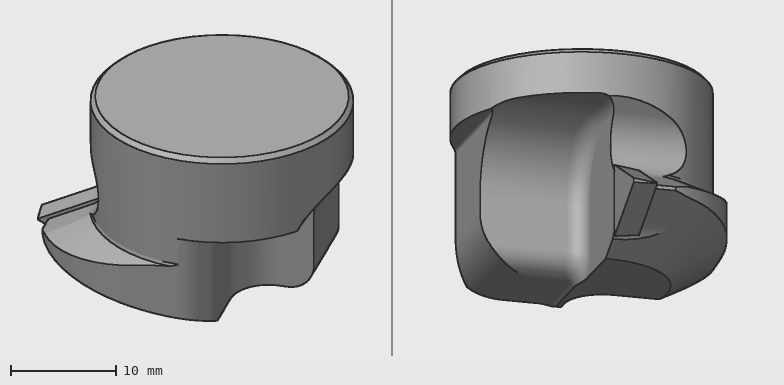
import cadquery as cq
import math

SHANK_RADIUS = 12.497
HEIGHT = 19.7
TOP_CHAMFER = 0.45

TIP_REACH = 17.873
TIP_Z = 4.9
HALF_ANGLE = 27.5
SLOPE = math.tan(math.radians(HALF_ANGLE))
RAKE_Y = 0.12
FAR = 36.45

FLANK_X = -16.5
FLANK_CORNER_Y = -4.43
FLANK_RADIUS = 12.73
FLANK_CENTER_X = -4.65
BLEND_TOP_Z = 7.95
BLEND_REACH = 0.1

RELIEF_APEX_X = -16.85
RELIEF_RADIUS = 4.1
NOTCH_FLOOR_X = -10.08

FLUTE_WALL_X = -1.43
FLUTE_ROOF_Z = 15.2
FLUTE_ROOF_RADIUS = 7.47
FLUTE_BOTTOM_Z = 0.6
FLUTE_CORNER_RADIUS = 2.1
FLUTE_FILLET = 1.73

POCKET_EDGE_X = -1.1
POCKET_EDGE_RADIUS = 3.05
POCKET_FILLET = 3.75
POCKET_ROOF_Z = 10.72
POCKET_FACE_Y = 0.0

SIDE_X = 9.08
SIDE_ARC_Z = 7.9
SIDE_ARC_RADIUS = 6.6
SIDE_CORNER_RADIUS = 2.6

BACK_Y = 10.48
BACK_ROOF_Z = 14.7
BACK_FILLET = 0.4
BACK_CORNER_RADIUS = 5.15

INSERT_THICKNESS = 2.43
INSERT_BACK_X = -11.42
TIP_HALF_WIDTH = 0.2
CLEARANCE_ANGLE = 7.0


def xz_prism(outline, start_y, end_y):
    """Extrude a closed wire drawn in XZ between two Y positions."""
    solid = cq.Solid.extrudeLinear(outline.val(), [], cq.Vector(0, end_y - start_y, 0))
    return cq.Workplane(solid.translate(cq.Vector(0, start_y, 0)))


def make_shank():
    return cq.Workplane().circle(SHANK_RADIUS).extrude(HEIGHT).faces(">Z").chamfer(TOP_CHAMFER)


def make_double_cone():
    """Flank envelope: two cones meeting at the tip circle, blended into the shank."""
    base_radius = TIP_REACH - TIP_Z / SLOPE
    blend_radius = SHANK_RADIUS + BLEND_REACH
    blend_z = TIP_Z + (TIP_REACH - blend_radius) * SLOPE
    return (
        cq.Workplane("XZ")
        .polyline([
            (0, 0), (base_radius, 0), (TIP_REACH, TIP_Z),
            (blend_radius, blend_z), (SHANK_RADIUS, BLEND_TOP_Z), (0, BLEND_TOP_Z),
        ])
        .close()
        .revolve(360, (0, 0), (0, 1))
    )


def make_flank(double_cone):
    """Flank with an arc-shaped plan, limited by the double cone."""
    center_y = FLANK_RADIUS - SHANK_RADIUS
    start_angle = math.atan2(FLANK_CORNER_Y - center_y, FLANK_X - FLANK_CENTER_X) + 2 * math.pi
    middle_angle = (start_angle + 1.5 * math.pi) / 2
    middle = (
        FLANK_CENTER_X + FLANK_RADIUS * math.cos(middle_angle),
        center_y + FLANK_RADIUS * math.sin(middle_angle),
    )
    plan = (
        cq.Workplane()
        .moveTo(0, RAKE_Y)
        .lineTo(FLANK_X, RAKE_Y)
        .lineTo(FLANK_X, FLANK_CORNER_Y)
        .threePointArc(middle, (FLANK_CENTER_X, -SHANK_RADIUS))
        .lineTo(0, -SHANK_RADIUS)
        .close()
        .extrude(BLEND_TOP_Z)
    )
    return plan.intersect(double_cone)


def make_lower_bevel(double_cone):
    """Material below the tip circle and outside the lower cone, on the cutting side."""
    half_block = (
        cq.Workplane()
        .box(2 * FAR, FAR, TIP_Z, centered=(True, False, False))
        .translate((0, RAKE_Y - FAR, 0))
    )
    return half_block.cut(double_cone)


def make_relief():
    """Notch above the V: sloped plane, tangent round floor, then a 45 degree exit."""
    slope_angle = math.radians(HALF_ANGLE)
    center_x = NOTCH_FLOOR_X - RELIEF_RADIUS
    start_x = center_x + RELIEF_RADIUS * math.sin(slope_angle)
    start_z = TIP_Z + (start_x - RELIEF_APEX_X) * SLOPE
    center_z = start_z + RELIEF_RADIUS * math.cos(slope_angle)
    diagonal = RELIEF_RADIUS * math.sqrt(0.5)
    outline = (
        cq.Workplane("XZ")
        .moveTo(RELIEF_APEX_X, TIP_Z)
        .lineTo(start_x, start_z)
        .threePointArc((NOTCH_FLOOR_X, center_z), (center_x + diagonal, center_z + diagonal))
        .lineTo(center_x + diagonal - FAR, center_z + diagonal + FAR)
        .lineTo(center_x + diagonal - FAR, TIP_Z)
        .close()
        .wire()
    )
    return xz_prism(outline, -FAR, FAR)


def make_flute():
    """Chip space on the rake side, with a rounded edge along its floor."""
    roof_x = FLUTE_WALL_X - FLUTE_ROOF_RADIUS
    wall_top_z = FLUTE_ROOF_Z - FLUTE_ROOF_RADIUS
    wall_bottom_z = FLUTE_BOTTOM_Z + FLUTE_CORNER_RADIUS
    outline = (
        cq.Workplane("XZ")
        .moveTo(-FAR, FLUTE_ROOF_Z)
        .lineTo(roof_x, FLUTE_ROOF_Z)
        .tangentArcPoint((FLUTE_WALL_X, wall_top_z), relative=False)
        .lineTo(FLUTE_WALL_X, wall_bottom_z)
        .tangentArcPoint((FLUTE_WALL_X + FLUTE_CORNER_RADIUS, FLUTE_BOTTOM_Z), relative=False)
        .lineTo(FAR, FLUTE_BOTTOM_Z)
        .lineTo(FAR, -FAR)
        .lineTo(-FAR, -FAR)
        .close()
        .wire()
    )
    flute = xz_prism(outline, RAKE_Y, FAR)
    floor_edge = cq.selectors.BoxSelector(
        (-FAR, RAKE_Y - 0.3, 0), (FAR, RAKE_Y + 0.3, FLUTE_ROOF_Z + 0.3)
    )
    return flute.edges(floor_edge).fillet(FLUTE_FILLET)


def make_pocket():
    """Front pocket: convex entry, straight wall, concave fillet, flat face."""
    wall_x = POCKET_EDGE_X + POCKET_EDGE_RADIUS
    return (
        cq.Workplane()
        .moveTo(wall_x, POCKET_FACE_Y - POCKET_FILLET)
        .radiusArc((wall_x + POCKET_FILLET, POCKET_FACE_Y), POCKET_FILLET)
        .lineTo(FAR, POCKET_FACE_Y)
        .lineTo(FAR, -FAR)
        .lineTo(POCKET_EDGE_X, -FAR)
        .lineTo(POCKET_EDGE_X, -SHANK_RADIUS)
        .radiusArc((wall_x, POCKET_EDGE_RADIUS - SHANK_RADIUS), -POCKET_EDGE_RADIUS)
        .close()
        .extrude(POCKET_ROOF_Z)
    )


def make_side_cut():
    """Flat on the +X side, flaring out above and rounded at the bottom."""
    flare_z = SIDE_ARC_Z + SIDE_ARC_RADIUS
    outline = (
        cq.Workplane("XZ")
        .moveTo(SIDE_X - SIDE_CORNER_RADIUS, 0)
        .radiusArc((SIDE_X, SIDE_CORNER_RADIUS), -SIDE_CORNER_RADIUS)
        .lineTo(SIDE_X, SIDE_ARC_Z)
        .radiusArc((SIDE_X + SIDE_ARC_RADIUS, flare_z), SIDE_ARC_RADIUS)
        .lineTo(FAR, flare_z)
        .lineTo(FAR, 0)
        .close()
        .wire()
    )
    return xz_prism(outline, -FAR, FAR)


def make_back_cut():
    """Flat on the +Y side under the shank rim, rounded at the bottom."""
    return (
        cq.Workplane("YZ", origin=(-FAR, 0, 0))
        .moveTo(BACK_Y - BACK_CORNER_RADIUS, FLUTE_BOTTOM_Z)
        .radiusArc((BACK_Y, FLUTE_BOTTOM_Z + BACK_CORNER_RADIUS), -BACK_CORNER_RADIUS)
        .lineTo(BACK_Y, BACK_ROOF_Z - BACK_FILLET)
        .radiusArc((BACK_Y + BACK_FILLET, BACK_ROOF_Z), BACK_FILLET)
        .lineTo(FAR, BACK_ROOF_Z)
        .lineTo(FAR, FLUTE_BOTTOM_Z)
        .close()
        .extrude(2 * FAR)
    )


def insert_outline(y, inset):
    """Insert section at one Y, its cutting edges moved inward by inset."""
    tip_x = -TIP_REACH + inset
    edge_inset = inset / math.cos(math.radians(HALF_ANGLE))
    back_half = TIP_HALF_WIDTH + (INSERT_BACK_X + TIP_REACH) * SLOPE - edge_inset
    tip_half = back_half - (INSERT_BACK_X - tip_x) * SLOPE
    points = [
        (tip_x, y, TIP_Z - tip_half),
        (INSERT_BACK_X, y, TIP_Z - back_half),
        (INSERT_BACK_X, y, TIP_Z + back_half),
        (tip_x, y, TIP_Z + tip_half),
    ]
    return cq.Wire.makePolygon([cq.Vector(*point) for point in points], close=True)


def make_insert():
    inset = INSERT_THICKNESS * math.tan(math.radians(CLEARANCE_ANGLE))
    rake = insert_outline(RAKE_Y, 0)
    seat = insert_outline(RAKE_Y - INSERT_THICKNESS, inset)
    return cq.Workplane(cq.Solid.makeLoft([rake, seat], True))


def make_holder(insert):
    double_cone = make_double_cone()
    relief = make_relief()
    lower_relief = relief.mirror("XY", (0, 0, TIP_Z))
    return (
        make_shank()
        .cut(make_lower_bevel(double_cone))
        .union(make_flank(double_cone))
        .cut(relief)
        .cut(lower_relief)
        .cut(make_flute())
        .cut(make_pocket())
        .cut(make_side_cut())
        .cut(make_back_cut())
        .cut(insert)
    )


insert = make_insert()
holder = make_holder(insert)
result = cq.Compound.makeCompound([holder.val(), insert.val()])